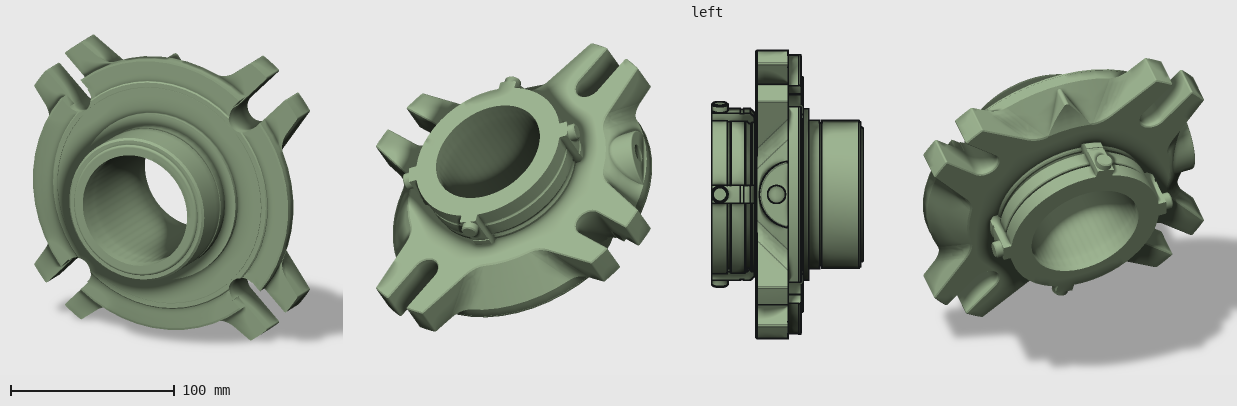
import cadquery as cq
import math

NOSE_LENGTH = 1.5
GROOVE_START = 25.3
GROOVE_END = 26.7
SHOULDER_START = 33.2
FACE_START = 36.6
FLANGE_START = 38.0
PLATE_START = 46.0
PLATE_END = 65.6
RIM_START = 66.4
RIM_END = 68.7
RING_START = 71.9
RING_END = 81.3
COLLAR_START = 83.2
TOTAL_LENGTH = 92.63

BORE_R = 69.85 / 2
NOSE_R = 82.53 / 2
GROOVE_R = 87.43 / 2
BARREL_R = 90.37 / 2
NECK_R = 90.81 / 2
SHOULDER_R = 104.78 / 2
FACE_R = 71.9
FLANGE_R = 85.5
PLATE_BACK_R = 66.2
RIM_R = 94.74 / 2
RING_R = 96.27 / 2
COLLAR_R = 96.67 / 2

BARREL_CHAMFER = 1.3
FLANGE_BEVEL_WIDTH = 1.2
FLANGE_BEVEL_DEPTH = 0.2
FLANGE_LIP_WIDTH = 1.3
FLANGE_LIP_HEIGHT = 0.12
RIM_CHAMFER = 0.8
FACE_CHAMFER = 0.7
RING_CHAMFER = 0.6
FACE_SEAM_R = 68.2
FACE_SEAM_WIDTH = 0.4
FACE_SEAM_DEPTH = 0.4

LUG_ANGLES = (45, 135, 225, 315)
LUG_TIP_R = 104.89
LUG_HALF_WIDTH = 22.3
LUG_SHOULDER_U = 102.5
LUG_TAPER = 10
LUG_ROOT_U = 40.0
LUG_FILLET = 8.3
ROOT_SPAN = 0.9
LUG_CORNER_R = 1.0
LUG_BACK_CHAMFER = 0.7
SLOT_WIDTH = 17.2
FLANGE_SLOT_WIDTH = 18.4
SLOT_END_R = 69.0

PORT_X = -83.0
PAD_R = 20.6
PAD_Y = 42.9
PORT_Y = 53.0
PORT_D = 11.0
PORT_DEPTH = 2.8
PAD_EDGE_R = 0.9

RIDGE_TOP_Z = 84.0
RIDGE_HALF_ANGLE = 34
RIDGE_TIP_R = 1.9
RIDGE_BASE_Z = 50.0
RIDGE_BACK_DROP = 4.9

CLIP_ANGLES = (0, 105, 180, 285)
CLIP_WIDTH = 11.0
CLIP_INNER_R = RING_R - 0.3
CLIP_OUTER_R = 53.2
CLIP_BEVEL = 2.7
CLIP_GROOVE_START = 73.1
CLIP_GROOVE_END = 75.3
CLIP_GROOVE_DEPTH = 0.5
CLIP_TOOTH_R = 46.6
CLIP_TOOTH_Y = 69.8
CLIP_TOOTH_HEIGHT = 1.2
SCREW_D = 10.0
SCREW_TOP_R = 57.6
SCREW_CHAMFER = 0.8


def turned(points):
    """Revolve a closed (radius, y) outline about the Y axis."""
    return cq.Workplane("XY").polyline(points).close().revolve(360, (0, 0), (0, 1))


def about_axis(shape, angle):
    """Turn a shape about Y so that +X moves toward +Z by the angle."""
    return shape.rotate((0, 0, 0), (0, 1, 0), -angle)


def plate_plane():
    """XZ plane at the start of the plate; negative extrusions go toward +Y."""
    return cq.Workplane("XZ", origin=(0, PLATE_START, 0))


def make_sleeve():
    """Bored sleeve with barrel, seal face, flange, rim, ring and collar."""
    profile = (
        cq.Workplane("XY")
        .moveTo(BORE_R, 0)
        .lineTo(NOSE_R - NOSE_LENGTH, 0)
        .radiusArc((NOSE_R, NOSE_LENGTH), -NOSE_LENGTH)
        .lineTo(BARREL_R - BARREL_CHAMFER, NOSE_LENGTH)
        .lineTo(BARREL_R, NOSE_LENGTH + BARREL_CHAMFER)
        .lineTo(BARREL_R, GROOVE_START)
        .lineTo(GROOVE_R, GROOVE_START)
        .lineTo(GROOVE_R, GROOVE_END)
        .lineTo(NECK_R, GROOVE_END)
        .lineTo(NECK_R, SHOULDER_START)
        .lineTo(SHOULDER_R, SHOULDER_START)
        .lineTo(SHOULDER_R, FACE_START)
        .lineTo(FACE_R - FACE_CHAMFER, FACE_START)
        .lineTo(FACE_R, FACE_START + FACE_CHAMFER)
        .lineTo(FACE_R, FLANGE_START)
        .lineTo(FLANGE_R - FLANGE_BEVEL_WIDTH, FLANGE_START)
        .lineTo(FLANGE_R, FLANGE_START + FLANGE_BEVEL_DEPTH)
        .lineTo(FLANGE_R, FLANGE_START + FLANGE_LIP_WIDTH)
        .lineTo(FLANGE_R - FLANGE_LIP_HEIGHT, FLANGE_START + FLANGE_LIP_WIDTH)
        .lineTo(FLANGE_R - FLANGE_LIP_HEIGHT, PLATE_START)
        .lineTo(GROOVE_R, PLATE_START)
        .lineTo(GROOVE_R, RIM_START)
        .lineTo(RIM_R, RIM_START)
        .lineTo(RIM_R, RIM_END - RIM_CHAMFER)
        .lineTo(RIM_R - RIM_CHAMFER, RIM_END)
        .lineTo(BARREL_R, RIM_END)
        .lineTo(BARREL_R, RING_START)
        .lineTo(RING_R - RING_CHAMFER, RING_START)
        .lineTo(RING_R, RING_START + RING_CHAMFER)
        .lineTo(RING_R, RING_END - RING_CHAMFER)
        .lineTo(RING_R - RING_CHAMFER, RING_END)
        .lineTo(NECK_R, RING_END)
        .lineTo(NECK_R, COLLAR_START)
        .lineTo(COLLAR_R, COLLAR_START)
        .lineTo(COLLAR_R, TOTAL_LENGTH)
        .lineTo(BORE_R, TOTAL_LENGTH)
        .close()
    )
    return profile.revolve(360, (0, 0), (0, 1))


def make_face_seam():
    """Thin ring groove between the seal face and its gasket."""
    inner = FACE_SEAM_R - FACE_SEAM_WIDTH / 2
    outer = FACE_SEAM_R + FACE_SEAM_WIDTH / 2
    bottom = FACE_START + FACE_SEAM_DEPTH
    return turned([(inner, FACE_START), (outer, FACE_START), (outer, bottom), (inner, bottom)])


def make_lugs():
    """Four slotted lug pairs with tapered sides and rounded outer corners."""
    thickness = PLATE_END - PLATE_START
    slope = math.tan(math.radians(LUG_TAPER))
    root_half = LUG_HALF_WIDTH + (LUG_SHOULDER_U - LUG_ROOT_U) * slope
    tip_u = LUG_TIP_R + LUG_CORNER_R
    tip_half = LUG_HALF_WIDTH - (tip_u - LUG_SHOULDER_U) * slope
    outline = [(LUG_ROOT_U, -root_half), (tip_u, -tip_half), (tip_u, tip_half), (LUG_ROOT_U, root_half)]
    block = plate_plane().polyline(outline).close().extrude(-thickness)
    tip_disc = plate_plane().circle(LUG_TIP_R).extrude(-thickness)
    lug = block.intersect(tip_disc).cut(make_slot())
    tip_zone = square_around_axis(LUG_TIP_R) - square_around_axis(FLANGE_R)
    lug = lug.edges("|Y").edges(tip_zone).fillet(LUG_CORNER_R)
    lugs = about_axis(lug, LUG_ANGLES[0])
    for angle in LUG_ANGLES[1:]:
        lugs = lugs.union(about_axis(lug, angle))
    return lugs


def make_slot():
    """Round-ended bolt slot along +X, slightly wider where it crosses the flange rim."""
    end_center = SLOT_END_R + SLOT_WIDTH / 2
    depth = PLATE_END - FACE_START
    flange_depth = PLATE_START - FACE_START
    plane = cq.Workplane("XZ", origin=(end_center, FACE_START, 0))
    round_end = plane.circle(SLOT_WIDTH / 2).extrude(-depth)
    mouth = plane.center(LUG_TIP_R / 2, 0)
    straight = mouth.rect(LUG_TIP_R, SLOT_WIDTH).extrude(-depth)
    flange_gap = mouth.rect(LUG_TIP_R, FLANGE_SLOT_WIDTH).extrude(-flange_depth)
    return round_end.union(straight).union(flange_gap)


def square_around_axis(half):
    """Selector for edges whose centers are within a square of this half width about Y."""
    return cq.selectors.BoxSelector((-half, 0, -half), (half, TOTAL_LENGTH, half))


def is_lug_root(edge):
    """True for the slanted edges where the outer side of a lug meets the cone."""
    middle = edge.positionAt(0.5)
    from_diagonal = abs(abs(middle.x) - abs(middle.z)) / math.sqrt(2)
    spans_plate = edge.BoundingBox().ylen > ROOT_SPAN * (PLATE_END - PLATE_START)
    inside_flange = math.hypot(middle.x, middle.z) < FLANGE_R
    return spans_plate and inside_flange and from_diagonal > SLOT_WIDTH


def make_plate():
    """Conical gland body with lugs blended into it."""
    cone = turned([
        (BORE_R, PLATE_START),
        (FLANGE_R, PLATE_START),
        (PLATE_BACK_R, PLATE_END),
        (BORE_R, PLATE_END),
    ])
    plate = cone.union(make_lugs())
    roots = [edge for edge in plate.edges().vals() if is_lug_root(edge)]
    plate = plate.newObject(roots).fillet(LUG_FILLET)
    near_axis = square_around_axis(BARREL_R)
    outer_edges = plate.faces(">Y").edges(square_around_axis(LUG_TIP_R) - near_axis)
    return outer_edges.chamfer(LUG_BACK_CHAMFER)


def front_space():
    """Everything on the nose side of the plate, for trimming the pad."""
    return cq.Workplane("XY").box(4 * FLANGE_R, PLATE_START, 4 * FLANGE_R, centered=(True, False, True))


def make_pad():
    """Flat round pad for the port on the -X side."""
    pad = cq.Workplane("YZ", origin=(PORT_X, PAD_Y, 0)).circle(PAD_R).extrude(-PORT_X - BARREL_R)
    pad = pad.faces("<X").edges().fillet(PAD_EDGE_R)
    return pad.cut(front_space())


def make_pad_relief():
    """Material of the cone that would stand proud of the pad face."""
    relief = cq.Workplane("YZ", origin=(PORT_X, PAD_Y, 0)).circle(PAD_R).extrude(PORT_X)
    return relief.cut(front_space())


def make_port():
    """Shallow round socket in the pad face."""
    return cq.Workplane("YZ", origin=(PORT_X, PORT_Y, 0)).circle(PORT_D / 2).extrude(PORT_DEPTH)


def make_ridge():
    """Wedge along Y with a rounded crest and a concave flared back."""
    half = math.radians(RIDGE_HALF_ANGLE)
    crest_center = RIDGE_TOP_Z - RIDGE_TIP_R
    side_x = RIDGE_TIP_R * math.cos(half)
    side_z = crest_center + RIDGE_TIP_R * math.sin(half)
    base_x = side_x + (side_z - RIDGE_BASE_Z) * math.tan(half)
    wedge = (
        plate_plane()
        .moveTo(-base_x, RIDGE_BASE_Z)
        .lineTo(-side_x, side_z)
        .threePointArc((0, RIDGE_TOP_Z), (side_x, side_z))
        .lineTo(base_x, RIDGE_BASE_Z)
        .close()
        .extrude(PLATE_START - PLATE_END)
    )
    rise = RIDGE_TOP_Z - PLATE_BACK_R
    back_r = (rise**2 + RIDGE_BACK_DROP**2) / (2 * RIDGE_BACK_DROP)
    envelope = (
        cq.Workplane("XY")
        .moveTo(0, PLATE_START)
        .lineTo(RIDGE_TOP_Z, PLATE_START)
        .lineTo(RIDGE_TOP_Z, PLATE_END - RIDGE_BACK_DROP)
        .radiusArc((PLATE_BACK_R, PLATE_END), back_r)
        .lineTo(0, PLATE_END)
        .close()
        .revolve(360, (0, 0), (0, 1))
    )
    return wedge.intersect(envelope)


def make_clip():
    """Setting clip on +X with a hooked, bevelled end and its screw head."""
    groove_r = CLIP_OUTER_R - CLIP_GROOVE_DEPTH
    band = turned([
        (CLIP_INNER_R, TOTAL_LENGTH),
        (CLIP_OUTER_R, TOTAL_LENGTH),
        (CLIP_OUTER_R, CLIP_GROOVE_END),
        (groove_r, CLIP_GROOVE_END),
        (groove_r, CLIP_GROOVE_START),
        (CLIP_OUTER_R, CLIP_GROOVE_START),
        (CLIP_OUTER_R, RIM_START + CLIP_BEVEL),
        (CLIP_OUTER_R - CLIP_BEVEL, RIM_START),
        (CLIP_TOOTH_R, RIM_START),
        (CLIP_TOOTH_R, CLIP_TOOTH_Y),
        (CLIP_INNER_R, CLIP_TOOTH_Y + CLIP_TOOTH_HEIGHT),
    ])
    strip = cq.Workplane("XY").box(SCREW_TOP_R, TOTAL_LENGTH, CLIP_WIDTH, centered=(False, False, True))
    screw_y = TOTAL_LENGTH - SCREW_D / 2
    screw_plane = cq.Workplane("YZ", origin=(RING_R, screw_y, 0))
    screw = screw_plane.circle(SCREW_D / 2).extrude(SCREW_TOP_R - RING_R)
    screw = screw.faces(">X").chamfer(SCREW_CHAMFER)
    return band.intersect(strip).union(screw)


plate = make_plate().cut(make_pad_relief())
result = make_sleeve().union(plate).union(make_pad()).union(make_ridge())
result = result.cut(make_port()).cut(make_face_seam())
for lug_angle in LUG_ANGLES:
    result = result.cut(about_axis(make_slot(), lug_angle))
for clip_angle in CLIP_ANGLES:
    result = result.union(about_axis(make_clip(), clip_angle))